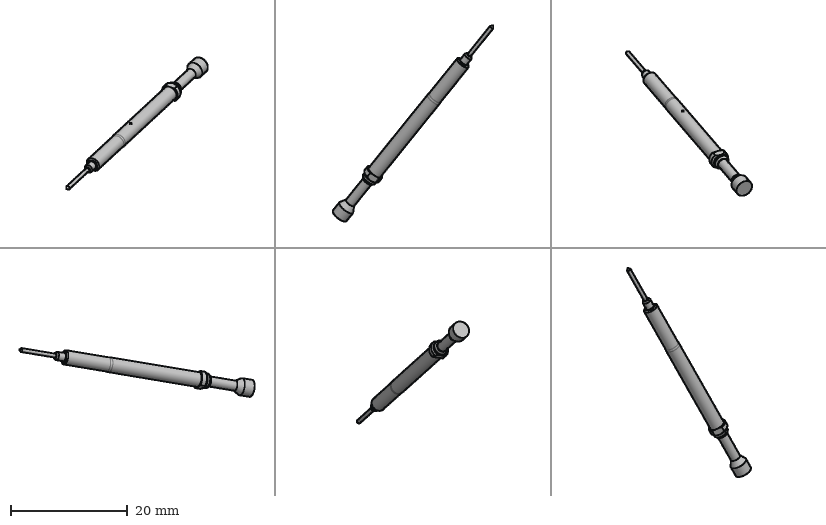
import cadquery as cq

total_length = 44.8

cap_dia = 3.0
neck_dia = 1.8
shoulder_dia = 2.0
body_dia = 2.6
flange_dia = 3.2
tail_dia = 2.5
tail_end_dia = 1.95
collar_dia = 1.5
collar_end_dia = 1.1
pin_dia = 0.7
tip_dia = 0.1

cap_end = 1.93
cap_cone_end = 3.05
neck_end = 8.15
shoulder_end = 8.55
band_end = 9.0
flange_start = 9.3
flange_end = 10.2
tail_taper_start = 27.4
tail_taper_end = 27.8
tail_chamfer_start = 35.97
tail_end = 36.2
collar_chamfer_start = 37.5
collar_end = 37.85
pin_end = 44.4

dimple_place = 23.4
dimple_dia = 0.35
dimple_depth = 0.35

stations = [
    (0, cap_dia),
    (cap_end, cap_dia),
    (cap_cone_end, neck_dia),
    (neck_end, neck_dia),
    (neck_end, shoulder_dia),
    (shoulder_end, body_dia),
    (band_end, body_dia),
    (flange_start, flange_dia),
    (flange_end, flange_dia),
    (flange_end, body_dia),
    (tail_taper_start, body_dia),
    (tail_taper_end, tail_dia),
    (tail_chamfer_start, tail_dia),
    (tail_end, tail_end_dia),
    (tail_end, collar_dia),
    (collar_chamfer_start, collar_dia),
    (collar_end, collar_end_dia),
    (collar_end, pin_dia),
    (pin_end, pin_dia),
    (total_length, tip_dia),
]


def turned_body():
    """Solid of revolution with the cap at +Y and the pin tip at Y = 0."""
    outline = [(diameter / 2, total_length - place) for place, diameter in stations]
    ends = [(0, 0), (0, total_length)]
    return cq.Workplane("XY").polyline(ends + outline).close().revolve(360, (0, 0), (0, 1))


def flange_flats():
    """Blocks that trim the flange level with the body, above and below."""
    block_length = flange_end - band_end
    block_middle = total_length - (flange_end + band_end) / 2
    block_height = flange_dia - body_dia
    block = cq.Workplane("XY").box(flange_dia, block_length, block_height)
    block_offset = (body_dia + block_height) / 2
    upper = block.translate((0, block_middle, block_offset))
    lower = block.translate((0, block_middle, -block_offset))
    return upper.union(lower)


def dimple_hole():
    """Blind hole drilled down into the top of the body."""
    return (
        cq.Workplane("XY", origin=(0, total_length - dimple_place, body_dia / 2 - dimple_depth))
        .circle(dimple_dia / 2)
        .extrude(2 * dimple_depth)
    )


result = turned_body().cut(flange_flats()).cut(dimple_hole())